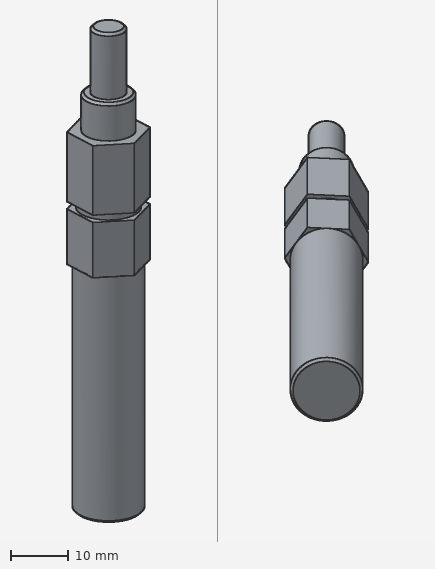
import cadquery as cq
import math

total_length = 92.33
across_flats = 12.69

body_diameter = across_flats
neck_diameter = 11.5
collar_diameter = 9.6
rod_diameter = 6.35

body_length = 47.2
lower_hex_length = 10.6
neck_length = 1.4
upper_hex_length = 13.3
collar_length = 7.2
edge_chamfer = 0.5

lower_hex_z = body_length
neck_z = lower_hex_z + lower_hex_length
upper_hex_z = neck_z + neck_length
collar_z = upper_hex_z + upper_hex_length
rod_z = collar_z + collar_length
rod_length = total_length - rod_z

across_corners = across_flats / math.cos(math.pi / 6)


def cylinder(diameter, start_z, length):
    """Round section on the Z axis."""
    return cq.Workplane("XY").workplane(offset=start_z).circle(diameter / 2).extrude(length)


def hexagon(start_z, length):
    """Hexagonal wrench section with corners pointing along X."""
    return cq.Workplane("XY").workplane(offset=start_z).polygon(6, across_corners).extrude(length)


body = cylinder(body_diameter, 0, body_length).faces("<Z").chamfer(edge_chamfer)
neck = cylinder(neck_diameter, neck_z, neck_length)
collar = cylinder(collar_diameter, collar_z, collar_length).faces(">Z").chamfer(edge_chamfer)
rod = cylinder(rod_diameter, rod_z, rod_length).faces(">Z").chamfer(edge_chamfer)

lower_hex = hexagon(lower_hex_z, lower_hex_length)
upper_hex = hexagon(upper_hex_z, upper_hex_length)

result = body.union(lower_hex).union(neck).union(upper_hex).union(collar).union(rod)